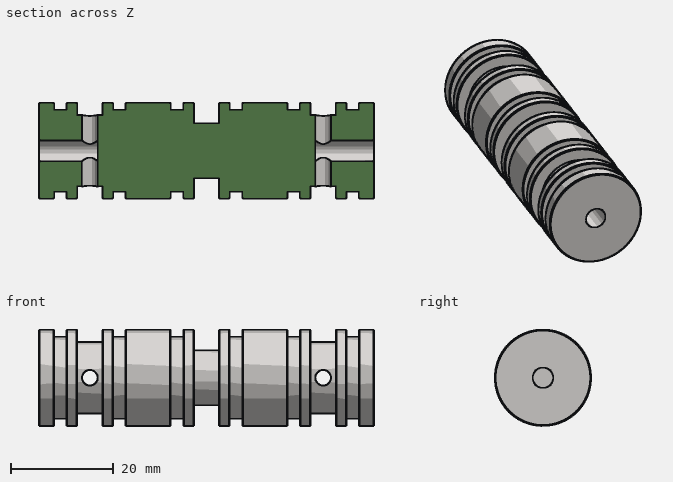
import cadquery as cq

length = 65.3
land_diameter = 18.8
seal_groove_diameter = 16.0
port_neck_diameter = 14.0
center_neck_diameter = 10.8

neck_width = 4.85
neck_pitch = 22.75
rib_width = 2.15
seal_groove_width = 2.35
edge_chamfer = 0.2

cross_hole_diameter = 3.0
end_bore_diameter = 4.0

groove_offset = neck_width / 2 + rib_width + seal_groove_width / 2
end_bore_depth = length / 2 - neck_pitch + cross_hole_diameter / 2


def x_cylinder(diameter, start, width):
    return cq.Workplane("YZ", origin=(start, 0, 0)).circle(diameter / 2).extrude(width)


def land(start, end):
    """Full-diameter land with both rims chamfered."""
    return x_cylinder(land_diameter, start, end - start).edges().chamfer(edge_chamfer)


recesses = []
for neck_center, neck_diameter in (
    (-neck_pitch, port_neck_diameter),
    (0, center_neck_diameter),
    (neck_pitch, port_neck_diameter),
):
    recesses += [
        (neck_center - groove_offset, seal_groove_width, seal_groove_diameter),
        (neck_center, neck_width, neck_diameter),
        (neck_center + groove_offset, seal_groove_width, seal_groove_diameter),
    ]

result = x_cylinder(center_neck_diameter, -length / 2, length)
land_start = -length / 2
for center, width, core_diameter in recesses:
    recess_start = center - width / 2
    recess_end = center + width / 2
    result = result.union(land(land_start, recess_start))
    core_start = recess_start - edge_chamfer
    core_width = width + 2 * edge_chamfer
    result = result.union(x_cylinder(core_diameter, core_start, core_width))
    land_start = recess_end
result = result.union(land(land_start, length / 2))

for side in (-1, 1):
    cross_hole = (
        cq.Workplane("XZ", origin=(side * neck_pitch, 0, 0))
        .circle(cross_hole_diameter / 2)
        .extrude(port_neck_diameter, both=True)
    )
    end_bore = x_cylinder(end_bore_diameter, side * length / 2, -side * end_bore_depth)
    result = result.cut(cross_hole).cut(end_bore)